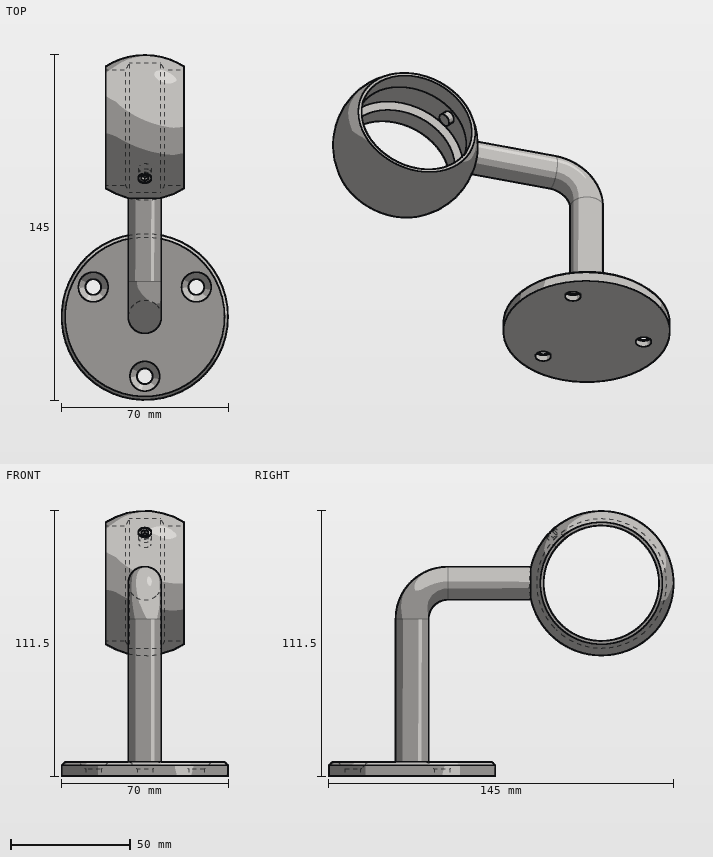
import cadquery as cq
import math

plate_diameter = 70.0
plate_thickness = 6.0
plate_chamfer = 1.5
screw_circle_radius = 25.0
screw_hole_diameter = 6.5
countersink_diameter = 12.5
countersink_angle = 90.0
screw_hole_count = 3
first_screw_hole_angle = 30.0

rod_diameter = 14.0
rod_bend_radius = 15.0

ring_radius = 30.5
ring_width = 33.0
ring_center_y = 79.5
ring_center_z = 81.0
ring_bore_diameter = 48.4
groove_floor_diameter = 54.5
groove_floor_width = 13.0
groove_mouth_width = 16.5

set_screw_diameter = 5.5
set_screw_angle = 45.0
socket_across_flats = 3.0
socket_depth = 2.0
set_screw_recess = 0.6

ring_center = (0, ring_center_y, ring_center_z)


def ball():
    return cq.Workplane("XY", origin=ring_center).sphere(ring_radius)


def make_plate():
    disc = cq.Workplane("XY").circle(plate_diameter / 2).extrude(plate_thickness)
    return (
        disc.faces(">Z")
        .chamfer(plate_chamfer)
        .faces(">Z")
        .workplane(origin=(0, 0, plate_thickness))
        .polarArray(screw_circle_radius, first_screw_hole_angle, 360, screw_hole_count)
        .cskHole(screw_hole_diameter, countersink_diameter, countersink_angle)
    )


def make_rod():
    """Bent rod whose far end is cut to fit the ball surface of the ring."""
    bend_middle = rod_bend_radius * (1 - math.sqrt(0.5))
    path = (
        cq.Workplane("YZ")
        .moveTo(0, plate_thickness)
        .lineTo(0, ring_center_z - rod_bend_radius)
        .threePointArc(
            (bend_middle, ring_center_z - bend_middle),
            (rod_bend_radius, ring_center_z),
        )
        .lineTo(ring_center_y - ring_radius / 2, ring_center_z)
    )
    bar = cq.Workplane("XY", origin=(0, 0, plate_thickness)).circle(rod_diameter / 2).sweep(path)
    return bar.cut(ball())


def set_screw_plane():
    """Plane through the ring centre whose normal is the set screw axis."""
    tilt = math.radians(set_screw_angle)
    axis = (0, -math.cos(tilt), math.sin(tilt))
    return cq.Plane(origin=ring_center, xDir=(1, 0, 0), normal=axis)


def set_screw_pin(outer_end):
    """Radial pin from the ring bore out to outer_end, measured from the ring centre."""
    pin = (
        cq.Workplane(set_screw_plane())
        .circle(set_screw_diameter / 2)
        .extrude(outer_end)
    )
    bore = cq.Workplane("YZ", origin=ring_center).circle(ring_bore_diameter / 2)
    return pin.cut(bore.extrude(ring_width / 2, both=True))


def make_set_screw():
    outer_end = ring_radius - set_screw_recess
    socket = (
        cq.Workplane(set_screw_plane())
        .workplane(offset=outer_end - socket_depth)
        .polygon(6, socket_across_flats, circumscribed=True)
        .extrude(socket_depth)
    )
    return set_screw_pin(outer_end).cut(socket)


def make_ring():
    """Half section above the ring axis, revolved about that axis."""
    bore_radius = ring_bore_diameter / 2
    floor_radius = groove_floor_diameter / 2
    half_width = ring_width / 2
    end_face_radius = math.sqrt(ring_radius**2 - half_width**2)
    section = (
        cq.Workplane("XY", origin=ring_center)
        .moveTo(-half_width, bore_radius)
        .lineTo(-half_width, end_face_radius)
        .threePointArc((0, ring_radius), (half_width, end_face_radius))
        .lineTo(half_width, bore_radius)
        .lineTo(groove_mouth_width / 2, bore_radius)
        .lineTo(groove_floor_width / 2, floor_radius)
        .lineTo(-groove_floor_width / 2, floor_radius)
        .lineTo(-groove_mouth_width / 2, bore_radius)
        .close()
    )
    body = section.revolve(360, (0, 0, 0), (1, 0, 0))
    return body.cut(set_screw_pin(2 * ring_radius))


plate = make_plate()
rod = make_rod()
ring = make_ring()
set_screw = make_set_screw()

result = cq.Compound.makeCompound(
    [plate.val(), rod.val(), ring.val(), set_screw.val()]
)